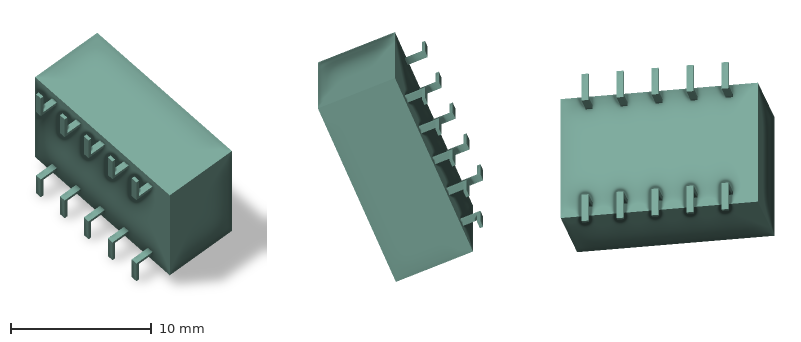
import cadquery as cq

overall_depth = 7.5
overall_height = 11.5

body_length = 14.3
body_depth = 5.95
body_height = 9.3

leads_per_row = 5
lead_pitch = 2.54
lead_width = 0.5
lead_thickness = 0.25
row_spacing = 3 * lead_pitch

body_front_y = -body_depth
foot_front_y = -overall_depth
foot_back_y = foot_front_y + lead_thickness
foot_tip_z = overall_height / 2
stem_inner_z = (row_spacing - lead_thickness) / 2
stem_outer_z = stem_inner_z + lead_thickness


def make_body():
    """Plain rectangular block centred on X and Z."""
    return cq.Workplane("XY").box(
        body_length, body_depth, body_height, centered=(True, False, True)
    ).translate((0, body_front_y, 0))


def make_upper_lead(center_x):
    """L-shaped lead: a stem leaving the front face, then a foot turned toward +Z."""
    profile = [
        (body_front_y, stem_inner_z),
        (foot_front_y, stem_inner_z),
        (foot_front_y, foot_tip_z),
        (foot_back_y, foot_tip_z),
        (foot_back_y, stem_outer_z),
        (body_front_y, stem_outer_z),
    ]
    lead = cq.Workplane("YZ").polyline(profile).close().extrude(lead_width / 2, both=True)
    return lead.translate((center_x, 0, 0))


result = make_body()
for index in range(leads_per_row):
    lead_x = (index - (leads_per_row - 1) / 2) * lead_pitch
    upper_lead = make_upper_lead(lead_x)
    lower_lead = upper_lead.mirror("XY")
    result = result.union(upper_lead).union(lower_lead)